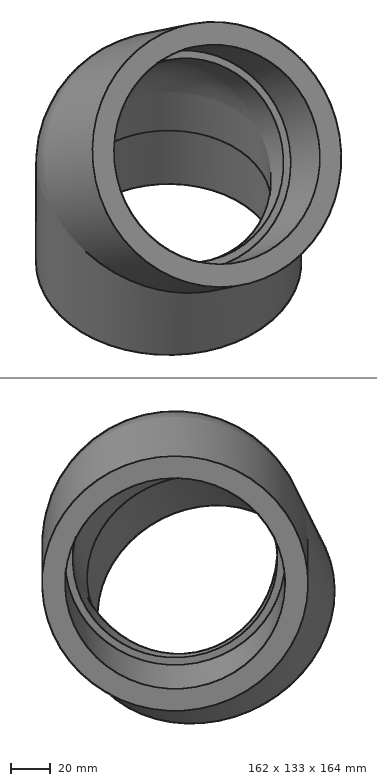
import cadquery as cq
import math

total_height = 164.0
outer_diameter = 133.0
socket_diameter = 110.0
bore_diameter = 102.3
socket_depth = 41.5
bend_angle = 45.0

outer_radius = outer_diameter / 2
bend = math.radians(bend_angle)
leg_length = (total_height - outer_radius * math.sin(bend)) / (1 + math.cos(bend))


def along_both_legs(diameter, start, end):
    """Cylinders on the inlet and outlet axes, between two distances from the elbow centre."""
    upright = cq.Workplane("XY").workplane(offset=start).circle(diameter / 2).extrude(end - start)
    inlet = upright.rotate((0, 0, 0), (1, 0, 0), 180)
    outlet = upright.rotate((0, 0, 0), (0, 1, 0), bend_angle)
    return inlet.union(outlet)


def elbow(diameter):
    """Two legs joined by a ball of the same diameter at the elbow centre."""
    ball = cq.Workplane("XY").sphere(diameter / 2)
    return along_both_legs(diameter, 0, leg_length).union(ball)


body = elbow(outer_diameter)
passage = elbow(bore_diameter)
sockets = along_both_legs(socket_diameter, leg_length - socket_depth, leg_length)

result = body.cut(passage).cut(sockets)